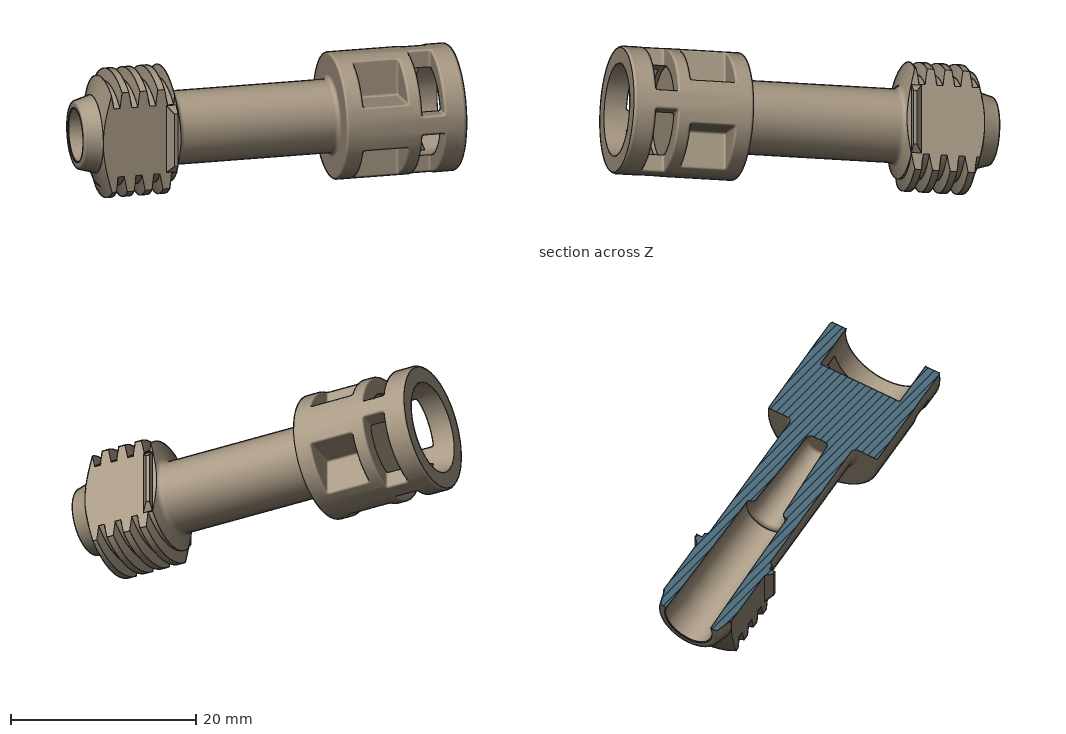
import cadquery as cq
import math

LENGTH = 42.0

HEAD_DIAMETER = 13.8
HEAD_RADIUS = HEAD_DIAMETER / 2
HEAD_BASE = 28.55
HEAD_BASE_ROUND = 0.25
HEAD_END_ROUND_LENGTH = 0.5
HEAD_END_ROUND_DEPTH = 0.15
CUP_RADIUS = 5.05
CUP_FLOOR = 36.55
WINDOW_OFFSET = 1.05
WINDOW_RANGE = (37.0, 39.52)
POCKET_OFFSET = 2.4
POCKET_RANGE = (30.5, 35.55)
INNER_ROUND = 0.25
OPENING_ROUND = 0.25

SHANK_RADIUS = 4.0
SHANK_ROUND = 0.5

FLAT_OFFSET = 4.25
THREAD_DIAMETER = 14.0
THREAD_RADIUS = THREAD_DIAMETER / 2
ROOT_RADIUS = 5.7
PITCH = 6.0 / 3
CREST_WIDTH = 0.75
TOOTH_BASE_WIDTH = 1.35
GROOVE_START_Y = 2.1
GROOVE_START_ANGLE = 71
CUTTER_OVERLAP = 0.2
TIP_CONE_SLOPE = 0.36
FLARE_CONE_SLOPE = 0.32
FLARE_RADIUS = 4.4
FLARE_END = 11.15
FLARE_START = 10.6
TIP_BASE = 1.95

TIP_BASE_RADIUS = 4.25
TIP_EDGE_RADIUS = 3.8
TIP_ROUND = 0.38

LUG_OFFSET = 4.9
LUG_TOP = 10.12
LUG_BASE_START = 9.05
LUG_BASE_HALF_WIDTH = 3.75
LUG_TIP_START = 9.7
LUG_TIP_HALF_WIDTH = 2.95

MOUTH_RADIUS = 3.0
MOUTH_CHAMFER = 0.1
BORE_STEP_RADIUS = 2.6
BORE_STEP_DEPTH = 16.8
NECK_RADIUS = 1.97
NECK_ROUND = 0.55
BORE_END_RADIUS = 1.55
BORE_END_ROUND = 0.4
BORE_DEPTH = 27.7

ROUND_MIDDLE = 1 - math.sqrt(0.5)


def revolve_profile(profile):
    """Revolve a closed (radius, Y) profile a full turn about the Y axis."""
    return profile.close().revolve(360, (0, 0, 0), (0, 1, 0))


def make_spindle():
    """Tip, shank and head without the threaded block."""
    shank_end = HEAD_BASE - SHANK_ROUND
    head_face_radius = HEAD_RADIUS - HEAD_BASE_ROUND
    base_corner = HEAD_BASE_ROUND * ROUND_MIDDLE
    end_middle = (
        HEAD_RADIUS - HEAD_END_ROUND_DEPTH * ROUND_MIDDLE,
        LENGTH - HEAD_END_ROUND_LENGTH * ROUND_MIDDLE,
    )
    tip_face_radius = TIP_EDGE_RADIUS - TIP_ROUND
    tip_corner = TIP_ROUND * ROUND_MIDDLE
    shank_corner = SHANK_ROUND * ROUND_MIDDLE
    return revolve_profile(
        cq.Workplane("XY")
        .lineTo(tip_face_radius, 0)
        .threePointArc((TIP_EDGE_RADIUS - tip_corner, tip_corner), (TIP_EDGE_RADIUS, TIP_ROUND))
        .lineTo(TIP_BASE_RADIUS, TIP_BASE)
        .lineTo(SHANK_RADIUS, TIP_BASE)
        .lineTo(SHANK_RADIUS, shank_end)
        .threePointArc(
            (SHANK_RADIUS + shank_corner, HEAD_BASE - shank_corner),
            (SHANK_RADIUS + SHANK_ROUND, HEAD_BASE),
        )
        .lineTo(head_face_radius, HEAD_BASE)
        .threePointArc(
            (HEAD_RADIUS - base_corner, HEAD_BASE + base_corner),
            (HEAD_RADIUS, HEAD_BASE + HEAD_BASE_ROUND),
        )
        .lineTo(HEAD_RADIUS, LENGTH - HEAD_END_ROUND_LENGTH)
        .threePointArc(end_middle, (HEAD_RADIUS - HEAD_END_ROUND_DEPTH, LENGTH))
        .lineTo(CUP_RADIUS, LENGTH)
        .lineTo(CUP_RADIUS, CUP_FLOOR)
        .lineTo(0, CUP_FLOOR)
    )


def quadrant_cutter(offset, y_range):
    """Round-edged block filling the +X +Z quadrant beyond the offset, over a Y range."""
    start, end = y_range
    size = 2 * HEAD_RADIUS
    return (
        cq.Workplane("XY")
        .box(size, end - start, size, centered=False)
        .edges("<X or <Z")
        .fillet(INNER_ROUND)
        .translate((offset, start, offset))
    )


def is_opening_edge(edge):
    """True for an edge on the head's cylinder that borders a window or pocket."""
    tolerance = 0.005
    ends = [edge.startPoint(), edge.endPoint()]
    on_cylinder = all(abs(math.hypot(p.x, p.z) - HEAD_RADIUS) < tolerance for p in ends)
    first, last = POCKET_RANGE[0] - tolerance, WINDOW_RANGE[1] + tolerance
    return on_cylinder and all(first < p.y < last for p in ends)


def cut_openings(body):
    """Cut a window and a pocket in every quadrant and round their outer edges."""
    for offset, y_range in ((WINDOW_OFFSET, WINDOW_RANGE), (POCKET_OFFSET, POCKET_RANGE)):
        cutter = quadrant_cutter(offset, y_range)
        for quadrant in range(4):
            body = body.cut(cutter.rotate((0, 0, 0), (0, 1, 0), 90 * quadrant))
    return body.edges().filter(is_opening_edge).fillet(OPENING_ROUND)


def make_slab(half_width):
    """Slab centred on the axis, bounded only across X."""
    size = 2 * LENGTH
    return cq.Workplane("XY").box(2 * half_width, size, size)


def make_thread_groove():
    """Right-handed trapezoidal groove along Y, from near the tip to beyond the flare."""
    half_root = (PITCH - TOOTH_BASE_WIDTH) / 2
    half_mouth = (PITCH - CREST_WIDTH) / 2
    flank_slope = (half_mouth - half_root) / (THREAD_RADIUS - ROOT_RADIUS)
    outer_radius = THREAD_RADIUS + CUTTER_OVERLAP
    half_outer = half_mouth + flank_slope * CUTTER_OVERLAP
    turns = math.ceil((FLARE_END - GROOVE_START_Y) / PITCH)
    path = cq.Wire.makeHelix(PITCH, turns * PITCH, ROOT_RADIUS)
    return (
        cq.Workplane("XZ")
        .moveTo(ROOT_RADIUS, -half_root)
        .lineTo(outer_radius, -half_outer)
        .lineTo(outer_radius, half_outer)
        .lineTo(ROOT_RADIUS, half_root)
        .close()
        .sweep(cq.Workplane(path), isFrenet=True)
        .rotate((0, 0, 0), (1, 0, 0), -90)
        .rotate((0, 0, 0), (0, 1, 0), GROOVE_START_ANGLE)
        .translate((0, GROOVE_START_Y, 0))
    )


def make_threaded_block():
    """Block with a cone at each end and a flare to the shank, threaded and cut to two flats."""
    tip_cone_length = TIP_CONE_SLOPE * (THREAD_RADIUS - TIP_BASE_RADIUS)
    flare_cone_length = FLARE_CONE_SLOPE * (THREAD_RADIUS - FLARE_RADIUS)
    blank = revolve_profile(
        cq.Workplane("XY")
        .moveTo(0, TIP_BASE)
        .lineTo(TIP_BASE_RADIUS, TIP_BASE)
        .lineTo(THREAD_RADIUS, TIP_BASE + tip_cone_length)
        .lineTo(THREAD_RADIUS, FLARE_START - flare_cone_length)
        .lineTo(FLARE_RADIUS, FLARE_START)
        .tangentArcPoint((SHANK_RADIUS, FLARE_END), relative=False)
        .lineTo(0, FLARE_END)
    )
    groove = make_thread_groove().intersect(make_slab(FLAT_OFFSET + CUTTER_OVERLAP))
    return blank.cut(groove).intersect(make_slab(FLAT_OFFSET))


def make_lugs():
    """Pair of tapered lugs, one standing out of each flat."""
    base_length = LUG_TOP - LUG_BASE_START
    tip_length = LUG_TOP - LUG_TIP_START
    lug = (
        cq.Workplane("YZ", origin=(FLAT_OFFSET, 0, 0))
        .center(LUG_TOP - base_length / 2, 0)
        .rect(base_length, 2 * LUG_BASE_HALF_WIDTH)
        .workplane(offset=LUG_OFFSET - FLAT_OFFSET)
        .center((base_length - tip_length) / 2, 0)
        .rect(tip_length, 2 * LUG_TIP_HALF_WIDTH)
        .loft(ruled=True)
    )
    return lug.union(lug.mirror("YZ"))


def make_bore():
    """Blind bore from the tip: a drafted mouth, a rounded step and a drafted end."""
    neck_corner = NECK_ROUND * ROUND_MIDDLE
    end_corner = BORE_END_ROUND * ROUND_MIDDLE
    return revolve_profile(
        cq.Workplane("XY")
        .lineTo(MOUTH_RADIUS, 0)
        .lineTo(MOUTH_RADIUS - MOUTH_CHAMFER, MOUTH_CHAMFER)
        .lineTo(BORE_STEP_RADIUS, BORE_STEP_DEPTH)
        .lineTo(NECK_RADIUS + NECK_ROUND, BORE_STEP_DEPTH)
        .threePointArc(
            (NECK_RADIUS + neck_corner, BORE_STEP_DEPTH + neck_corner),
            (NECK_RADIUS, BORE_STEP_DEPTH + NECK_ROUND),
        )
        .lineTo(BORE_END_RADIUS, BORE_DEPTH - BORE_END_ROUND)
        .threePointArc(
            (BORE_END_RADIUS - end_corner, BORE_DEPTH - end_corner),
            (BORE_END_RADIUS - BORE_END_ROUND, BORE_DEPTH),
        )
        .lineTo(0, BORE_DEPTH)
    )


spindle = cut_openings(make_spindle())
result = spindle.union(make_threaded_block()).union(make_lugs()).cut(make_bore())